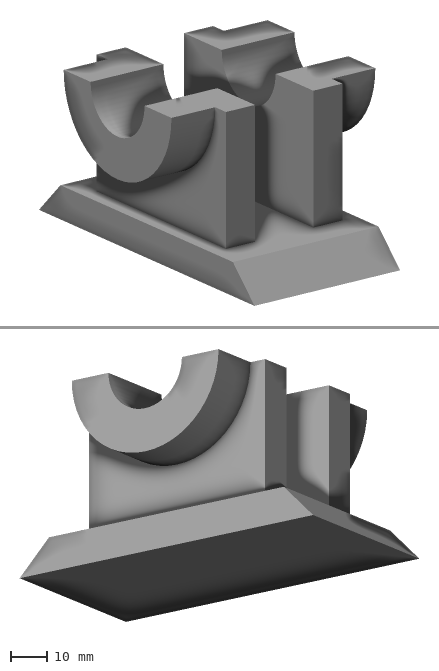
import cadquery as cq

base_length = 100.0
base_width = 50.0
base_height = 10.0
bevel_run = 10.0

wall_length = 60.0
wall_thickness = 10.0
wall_gap = 20.0
total_height = 50.0

seat_radius = 25.0
bore_radius = 12.5
seat_projection = 15.0

wall_outer_y = wall_gap / 2 + wall_thickness
seat_outer_y = wall_outer_y + seat_projection


def make_base():
    """Plate with ends sloping inward to the top face, centred on the origin."""
    half_bottom = base_length / 2
    half_top = half_bottom - bevel_run
    return (
        cq.Workplane("XZ")
        .polyline([
            (-half_bottom, 0),
            (half_bottom, 0),
            (half_top, base_height),
            (-half_top, base_height),
        ])
        .close()
        .extrude(base_width / 2, both=True)
    )


def make_support():
    """Upright wall on the +Y side with a half-round seat projecting outward."""
    wall = cq.Workplane("XY").box(
        wall_length, wall_thickness, total_height, centered=(True, False, False)
    ).translate((0, wall_gap / 2, 0))
    seat = (
        cq.Workplane("XZ", origin=(0, wall_gap / 2, total_height))
        .moveTo(-seat_radius, 0)
        .threePointArc((0, -seat_radius), (seat_radius, 0))
        .close()
        .extrude(-(seat_projection + wall_thickness))
    )
    return wall.union(seat)


def make_bore():
    """Cylinder along Y, centred on the top face, through both supports."""
    return (
        cq.Workplane("XZ", origin=(0, 0, total_height))
        .circle(bore_radius)
        .extrude(seat_outer_y, both=True)
    )


support = make_support()
result = (
    make_base()
    .union(support)
    .union(support.mirror("XZ"))
    .cut(make_bore())
)